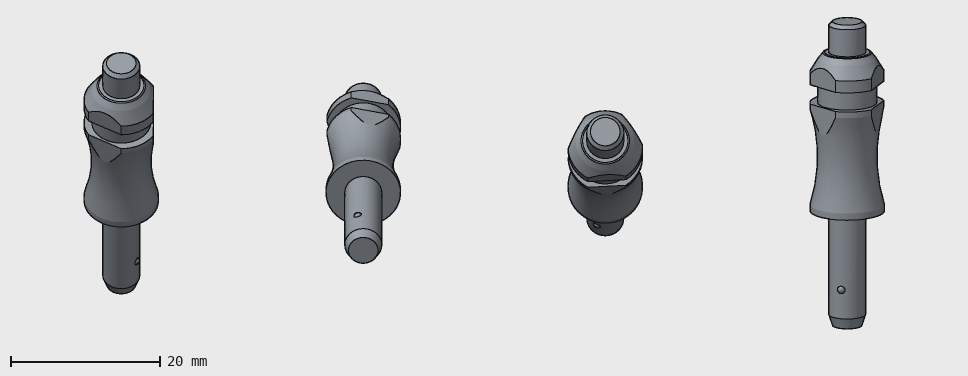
import cadquery as cq

total_height = 42.2
grip_radius = 5.0
pin_radius = 2.5

tip_radius = 2.0
tip_height = 1.5

button_chamfer = 0.5

grip_bottom = 15.9
grip_rim_height = 0.9
groove_bottom = 30.95
waist_height = (grip_bottom + groove_bottom) / 2
groove_top = 33.6
collar_shoulder = 35.25
collar_break = 37.0
collar_rim = 37.85
collar_top = 37.95

waist_radius = 4.0
groove_radius = 3.95
collar_break_radius = 3.92
collar_rim_radius = 3.25
collar_top_radius = 3.05

flat_distance = 4.3
flat_count = 3
flat_cutter_depth = 2.1

ball_radius = 0.6
ball_reach = 2.8
ball_height = 5.53


def turned_body():
    """Revolve the half outline of pin, waisted grip, groove, collar and button."""
    arc_bottom = grip_bottom + grip_rim_height
    arc_top = groove_bottom - grip_rim_height
    return (
        cq.Workplane("XZ")
        .moveTo(0, 0)
        .lineTo(tip_radius, 0)
        .lineTo(pin_radius, tip_height)
        .lineTo(pin_radius, grip_bottom)
        .lineTo(grip_radius, grip_bottom)
        .lineTo(grip_radius, arc_bottom)
        .threePointArc((waist_radius, waist_height), (grip_radius, arc_top))
        .lineTo(grip_radius, groove_bottom)
        .lineTo(groove_radius, groove_bottom)
        .lineTo(groove_radius, groove_top)
        .lineTo(grip_radius, groove_top)
        .lineTo(grip_radius, collar_shoulder)
        .lineTo(collar_break_radius, collar_break)
        .lineTo(collar_rim_radius, collar_rim)
        .lineTo(collar_top_radius, collar_top)
        .lineTo(pin_radius, collar_top)
        .lineTo(pin_radius, total_height - button_chamfer)
        .lineTo(pin_radius - button_chamfer, total_height)
        .lineTo(0, total_height)
        .close()
        .revolve(360, (0, 0, 0), (0, 1, 0))
    )


def flat_cutter(angle):
    """Block outside one flat, from the waist up; at angle zero the flat faces -Y."""
    return (
        cq.Workplane("XY")
        .box(2 * grip_radius, flat_cutter_depth, collar_top - waist_height, centered=(True, False, False))
        .translate((0, -flat_distance - flat_cutter_depth, waist_height))
        .rotate((0, 0, 0), (0, 0, 1), angle)
    )


def locking_ball(side):
    """Ball partly sunk into the pin, on the +X (1) or -X (-1) side."""
    ball_offset = side * (ball_reach - ball_radius)
    return cq.Workplane("XY").sphere(ball_radius).translate((ball_offset, 0, ball_height))


result = turned_body()
for index in range(flat_count):
    result = result.cut(flat_cutter(index * 360 / flat_count))
for side in (-1, 1):
    result = result.union(locking_ball(side))